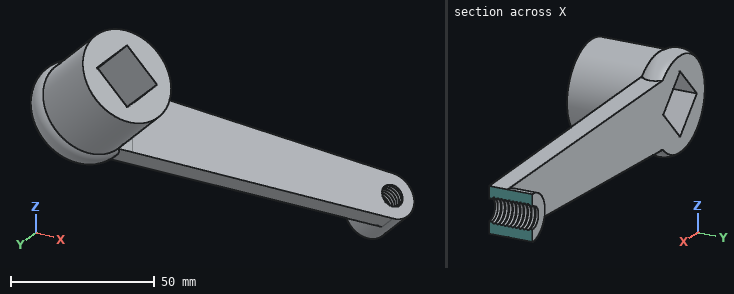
import cadquery as cq

TOTAL_LENGTH = 153.5
TOTAL_DEPTH = 45.0

HUB_RADIUS = 36.0 / 2
COLLAR_RADIUS = 19.5
COLLAR_THICKNESS = 8.3
SQUARE_DIAGONAL = 24.4

BOSS_RADIUS = 18.0 / 2
BOSS_PROJECTION = 9.8
BOSS_X = TOTAL_LENGTH - COLLAR_RADIUS - BOSS_RADIUS
HUB_LENGTH = TOTAL_DEPTH - BOSS_PROJECTION

TAPER_START_X = 18.3
ARM_ROOT_HALF_HEIGHT = 13.4
ARM_TIP_THICKNESS = 7.4

BORE_RADIUS = 4.22
THREAD_RADIUS = 4.9
THREAD_PITCH = 1.5
THREAD_COUNT = 10


def along_y(shape_2d, y_start, y_end):
    """Extrude a sketch on the XZ plane between two Y positions."""
    return shape_2d.extrude(y_start - y_end).translate((0, y_start, 0))


def make_hub():
    """Turn the hub and its barrel-shaped collar about the Y axis."""
    return (
        cq.Workplane("XY")
        .moveTo(0, 0)
        .lineTo(HUB_RADIUS, 0)
        .threePointArc((COLLAR_RADIUS, -COLLAR_THICKNESS / 2), (HUB_RADIUS, -COLLAR_THICKNESS))
        .lineTo(HUB_RADIUS, -HUB_LENGTH)
        .lineTo(0, -HUB_LENGTH)
        .close()
        .revolve(360, (0, 0, 0), (0, 1, 0))
    )


def make_arm():
    """Arm and boss, both trimmed in front by the sloping arm face."""
    outline = (
        cq.Workplane("XZ")
        .moveTo(0, -ARM_ROOT_HALF_HEIGHT)
        .lineTo(BOSS_X, -BOSS_RADIUS)
        .lineTo(BOSS_X, BOSS_RADIUS)
        .lineTo(0, ARM_ROOT_HALF_HEIGHT)
        .close()
    )
    arm = along_y(outline, 0, -COLLAR_THICKNESS)
    boss_circle = cq.Workplane("XZ").center(BOSS_X, 0).circle(BOSS_RADIUS)
    boss = along_y(boss_circle, BOSS_PROJECTION, -COLLAR_THICKNESS)
    front_wedge = (
        cq.Workplane("XY")
        .moveTo(TAPER_START_X, -COLLAR_THICKNESS)
        .lineTo(BOSS_X + BOSS_RADIUS, -ARM_TIP_THICKNESS)
        .lineTo(BOSS_X + BOSS_RADIUS, -COLLAR_THICKNESS)
        .close()
        .extrude(ARM_ROOT_HALF_HEIGHT, both=True)
    )
    return arm.union(boss).cut(front_wedge)


def make_threaded_bore():
    """Revolved through bore with V grooves centred along the boss, leaving plain ends."""
    boss_length = BOSS_PROJECTION + ARM_TIP_THICKNESS
    plain_end = (boss_length - THREAD_COUNT * THREAD_PITCH) / 2
    thread_start = BOSS_PROJECTION - plain_end
    profile = (
        cq.Workplane("XY")
        .moveTo(0, BOSS_PROJECTION)
        .lineTo(BORE_RADIUS, BOSS_PROJECTION)
        .lineTo(BORE_RADIUS, thread_start)
    )
    for groove in range(THREAD_COUNT):
        groove_start = thread_start - groove * THREAD_PITCH
        profile = profile.lineTo(THREAD_RADIUS, groove_start - THREAD_PITCH / 2)
        profile = profile.lineTo(BORE_RADIUS, groove_start - THREAD_PITCH)
    bore_end = -COLLAR_THICKNESS
    profile = profile.lineTo(BORE_RADIUS, bore_end).lineTo(0, bore_end).close()
    bore = profile.revolve(360, (0, 0, 0), (0, 1, 0))
    return bore.translate((BOSS_X, 0, 0))


half_diagonal = SQUARE_DIAGONAL / 2
socket = along_y(
    cq.Workplane("XZ").polyline(
        [(half_diagonal, 0), (0, half_diagonal), (-half_diagonal, 0), (0, -half_diagonal)]
    ).close(),
    0,
    -HUB_LENGTH,
)

result = make_hub().union(make_arm()).cut(socket).cut(make_threaded_bore())